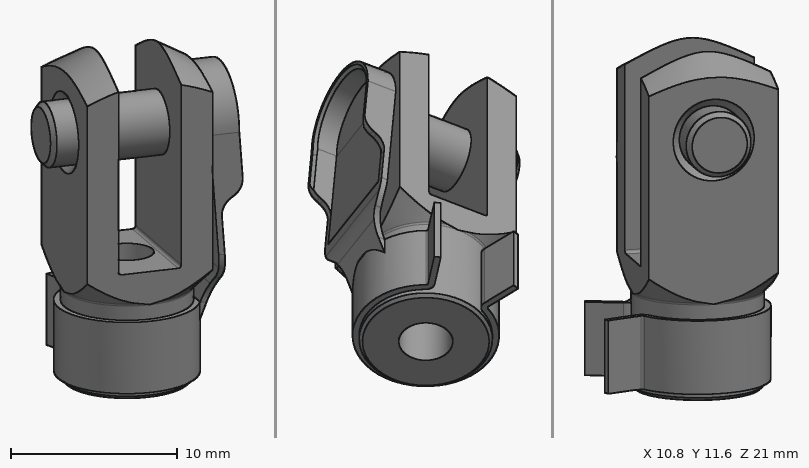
import cadquery as cq
import math

fork_width = 8.0
fork_height = 21.0
slot_width = 4.0
slot_floor_z = 8.0
slot_corner_radius = 0.2
collar_radius = fork_width / 2
collar_top_z = 6.0
collar_foot_chamfer = 0.2
collar_neck_radius = 0.2
crown_angle = math.radians(30)
bore_diameter = 3.24
pin_hole_z = 16.0
pin_diameter = 4.0
pin_hole_chamfer = 0.5

sheet = 0.4
pin_tip_y = -5.5
pin_tip_chamfer = 0.3
head_radius = 3.5
head_depth = 1.9
head_rim_chamfer = 0.2
arm_tilt = math.tan(math.radians(4.3))
flange_corner_z = 12.41
flange_root_z = 11.48
flange_bend_radius = 1.2
arm_bend_start_z = 7.5
arm_bend_inner_radius = 2.8
arm_bend_end_angle = math.radians(22)
arm_foot_z = 3.9
neck_top_z = 8.4
neck_half_width = 2.0
band_bottom_z = 0.5
band_height = 4.5
band_inner_radius = collar_radius
band_outer_radius = band_inner_radius + sheet
leg_angle = math.radians(20)
leg_tip_x = -6.37
leg_tip_y = 2.5
leg_bend_radius = 0.15

pick_margin = 0.05


def make_fork():
    half = fork_width / 2
    corner_radius = 1.5 * half
    crown_drop = (corner_radius - slot_width / 2) * math.tan(crown_angle)
    apex_z = fork_height + slot_width / 2 * math.tan(crown_angle)
    shoulder_rise = corner_radius - collar_radius

    turned = (
        cq.Workplane("XZ")
        .moveTo(0, 0)
        .lineTo(collar_radius, 0)
        .lineTo(collar_radius, collar_top_z)
        .lineTo(corner_radius, collar_top_z + shoulder_rise)
        .lineTo(corner_radius, fork_height - crown_drop)
        .lineTo(0, apex_z)
        .close()
        .revolve(360, (0, 0), (0, 1))
        .faces("<Z")
        .edges()
        .chamfer(collar_foot_chamfer)
    )
    neck_edge = cq.selectors.BoxSelector(
        (-half - pick_margin, -half - pick_margin, collar_top_z - pick_margin),
        (half + pick_margin, half + pick_margin, collar_top_z + pick_margin),
        boundingbox=True,
    )
    turned = turned.edges(neck_edge).fillet(collar_neck_radius)
    square = cq.Workplane("XY").rect(fork_width, fork_width).extrude(apex_z)
    body = turned.intersect(square)

    slot = (
        cq.Workplane("XY", origin=(0, 0, slot_floor_z))
        .rect(2 * fork_width, slot_width)
        .extrude(fork_height)
        .edges("|X and <Z")
        .fillet(slot_corner_radius)
    )
    bore = cq.Workplane("XY").circle(bore_diameter / 2).extrude(slot_floor_z + slot_width / 2)

    hole_radius = pin_diameter / 2
    mouth_radius = hole_radius + pin_hole_chamfer
    cross_hole = (
        cq.Workplane("XY")
        .moveTo(0, -half)
        .lineTo(mouth_radius, -half)
        .lineTo(hole_radius, -half + pin_hole_chamfer)
        .lineTo(hole_radius, half - pin_hole_chamfer)
        .lineTo(mouth_radius, half)
        .lineTo(0, half)
        .close()
        .revolve(360, (0, 0), (0, 1))
        .translate((0, 0, pin_hole_z))
    )
    return body.cut(slot).cut(bore).cut(cross_hole)


def make_pin():
    back_y = fork_width / 2 + sheet / 2
    return (
        cq.Workplane("XZ", origin=(0, back_y, pin_hole_z))
        .circle(pin_diameter / 2)
        .extrude(back_y - pin_tip_y)
        .faces("<Y")
        .edges()
        .chamfer(pin_tip_chamfer)
    )


def tilted_y(start_y, z):
    """Y of a line that leaves start_y at the pin's height and drifts outward going down."""
    return start_y + arm_tilt * (pin_hole_z - z)


def make_arm_profile():
    """Side outline of head and arm, as a slab wide enough for the whole head."""
    plate_in = fork_width / 2
    plate_out = plate_in + sheet
    rim = plate_in + head_depth
    top_z = pin_hole_z + head_radius
    tilt = math.atan(arm_tilt)

    bend_in = (tilted_y(plate_in, arm_bend_start_z), arm_bend_start_z)
    centre_y = bend_in[0] - arm_bend_inner_radius * math.cos(tilt)
    centre_z = bend_in[1] - arm_bend_inner_radius * math.sin(tilt)

    def on_bend(radius, angle):
        return (centre_y + radius * math.cos(angle), centre_z + radius * math.sin(angle))

    inner = arm_bend_inner_radius
    outer = inner + sheet
    middle_angle = (tilt - arm_bend_end_angle) / 2
    end_in = on_bend(inner, -arm_bend_end_angle)
    end_out = on_bend(outer, -arm_bend_end_angle)

    def foot(point):
        return (point[0] - (point[1] - arm_foot_z) * math.tan(arm_bend_end_angle), arm_foot_z)

    corner = (tilted_y(rim, flange_corner_z), flange_corner_z)
    root = (tilted_y(plate_out, flange_root_z), flange_root_z)
    slab = (
        cq.Workplane("YZ")
        .moveTo(plate_in, top_z)
        .lineTo(plate_in, pin_hole_z)
        .lineTo(*bend_in)
        .threePointArc(on_bend(inner, middle_angle), end_in)
        .lineTo(*foot(end_in))
        .lineTo(*foot(end_out))
        .lineTo(*end_out)
        .threePointArc(on_bend(outer, middle_angle), on_bend(outer, tilt))
        .lineTo(*root)
        .lineTo(*corner)
        .lineTo(rim, pin_hole_z)
        .lineTo(rim, top_z)
        .close()
        .extrude(head_radius, both=True)
    )
    for y, z in (corner, root):
        bend_edge = cq.selectors.BoxSelector(
            (-head_radius, y - pick_margin, z - pick_margin),
            (head_radius, y + pick_margin, z + pick_margin),
        )
        slab = slab.edges(bend_edge).fillet(flange_bend_radius)
    return slab


def make_arm_plan():
    """Outline of head and arm square to the pin: round top, S-curved narrowing to the neck."""
    neck_end_z = band_bottom_z + band_height
    inset = head_radius - neck_half_width
    drop = neck_top_z - neck_end_z
    curve_radius = (inset ** 2 + drop ** 2) / (4 * inset)
    half_turn = math.asin(drop / 2 / curve_radius) / 2
    arc_x = curve_radius * (1 - math.cos(half_turn))
    arc_z = curve_radius * math.sin(half_turn)
    middle = (head_radius - inset / 2, (neck_top_z + neck_end_z) / 2)
    depth = fork_width / 2 + 2 * head_depth
    return (
        cq.Workplane("XZ", origin=(0, depth, 0))
        .moveTo(-head_radius, pin_hole_z)
        .threePointArc((0, pin_hole_z + head_radius), (head_radius, pin_hole_z))
        .lineTo(head_radius, neck_top_z)
        .threePointArc((head_radius - arc_x, neck_top_z - arc_z), middle)
        .threePointArc((neck_half_width + arc_x, neck_end_z + arc_z), (neck_half_width, neck_end_z))
        .lineTo(neck_half_width, arm_foot_z)
        .lineTo(-neck_half_width, arm_foot_z)
        .lineTo(-neck_half_width, neck_end_z)
        .threePointArc((-neck_half_width - arc_x, neck_end_z + arc_z), (-middle[0], middle[1]))
        .threePointArc((-head_radius + arc_x, neck_top_z - arc_z), (-head_radius, neck_top_z))
        .close()
        .extrude(depth)
    )


def make_cup_hollow():
    """Space inside the head's flanges, open at the back and along the arm."""
    floor = fork_width / 2 + sheet
    beyond = fork_width / 2 + 2 * head_depth
    half_width = head_radius - sheet
    side = (
        cq.Workplane("YZ")
        .moveTo(floor, pin_hole_z + head_radius)
        .lineTo(floor, pin_hole_z)
        .lineTo(tilted_y(floor, neck_top_z), neck_top_z)
        .lineTo(beyond, neck_top_z)
        .lineTo(beyond, pin_hole_z + head_radius)
        .close()
        .extrude(half_width, both=True)
    )
    plan = (
        cq.Workplane("XZ", origin=(0, beyond, 0))
        .moveTo(-half_width, pin_hole_z)
        .threePointArc((0, pin_hole_z + half_width), (half_width, pin_hole_z))
        .lineTo(half_width, neck_top_z)
        .lineTo(-half_width, neck_top_z)
        .close()
        .extrude(beyond)
    )
    return side.intersect(plan)


def make_mouth_bevel():
    """45 degree bevel on the inner edge of the rim: a cone round the top, a wedge down the flanges."""
    rim = fork_width / 2 + head_depth
    narrow = head_radius - sheet
    narrow_y = rim - head_rim_chamfer
    wide = head_radius
    wide_y = narrow_y + wide - narrow
    cone = (
        cq.Workplane("XY", origin=(0, 0, pin_hole_z))
        .moveTo(0, narrow_y)
        .lineTo(narrow, narrow_y)
        .lineTo(wide, wide_y)
        .lineTo(0, wide_y)
        .close()
        .revolve(360, (0, 0), (0, 1))
    )
    wedge_path = (
        cq.Workplane("YZ")
        .moveTo(rim, pin_hole_z)
        .lineTo(tilted_y(rim, flange_root_z), flange_root_z)
    )
    wedge = (
        cq.Workplane("XY", origin=(0, 0, pin_hole_z))
        .moveTo(-narrow, narrow_y)
        .lineTo(narrow, narrow_y)
        .lineTo(wide, wide_y)
        .lineTo(-wide, wide_y)
        .close()
        .sweep(wedge_path)
    )
    return cone.union(wedge)


def make_band():
    """Open ring around the collar with two flared legs on the -X side."""
    along = (math.cos(leg_angle), -math.sin(leg_angle))
    tip_in = (leg_tip_x, leg_tip_y)
    tip_out = (leg_tip_x + sheet * math.sin(leg_angle), leg_tip_y + sheet * math.cos(leg_angle))

    def meet_circle(start, radius):
        """First point where a leg's line, followed from its tip, meets a circle."""
        lead = -(start[0] * along[0] + start[1] * along[1])
        offset = start[0] * along[1] - start[1] * along[0]
        reach = lead - math.sqrt(radius ** 2 - offset ** 2)
        return (start[0] + reach * along[0], start[1] + reach * along[1])

    def mirrored(point):
        return (point[0], -point[1])

    bend_in = meet_circle(tip_in, band_inner_radius)
    bend_out = meet_circle(tip_out, band_outer_radius)
    band = (
        cq.Workplane("XY", origin=(0, 0, band_bottom_z))
        .moveTo(*bend_out)
        .threePointArc((band_outer_radius, 0), mirrored(bend_out))
        .lineTo(*mirrored(tip_out))
        .lineTo(*mirrored(tip_in))
        .lineTo(*mirrored(bend_in))
        .threePointArc((band_inner_radius, 0), bend_in)
        .lineTo(*tip_in)
        .lineTo(*tip_out)
        .close()
        .extrude(band_height)
    )
    bends = ((bend_out, leg_bend_radius), (bend_in, leg_bend_radius + sheet))
    for point, radius in bends:
        for x, y in (point, mirrored(point)):
            bend_edge = cq.selectors.BoxSelector(
                (x - pick_margin, y - pick_margin, 0),
                (x + pick_margin, y + pick_margin, fork_height),
            )
            band = band.edges(bend_edge).fillet(radius)
    return band


def make_clip():
    arm = make_arm_profile().intersect(make_arm_plan()).cut(make_cup_hollow())
    arm = arm.cut(make_mouth_bevel())
    collar_space = cq.Workplane("XY").circle(collar_radius).extrude(collar_top_z)
    arm = arm.cut(collar_space)
    return make_band().union(arm).union(make_pin())


fork = make_fork()
clip = make_clip()
result = cq.Compound.makeCompound([fork.solids().val(), clip.solids().val()])